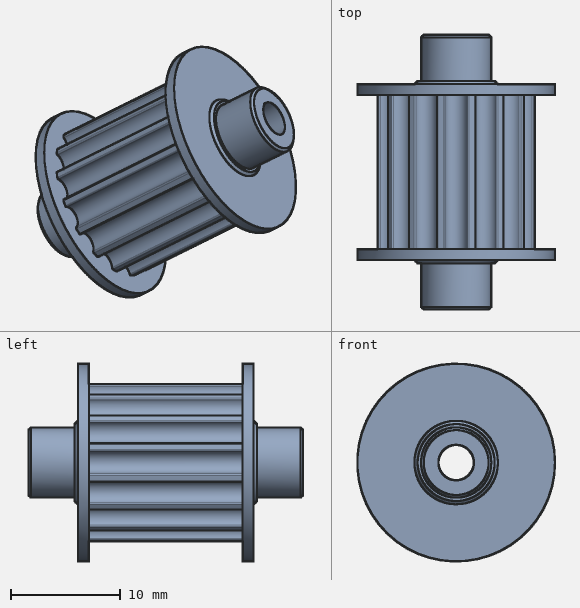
import cadquery as cq
import math


total_length = 25.0
flange_thickness = 1.0
toothed_length = 14.0
collar_height = 0.3

flange_diameter = 18.0
shaft_diameter = 6.4
collar_base_diameter = 7.6
collar_top_diameter = 7.0
bore_diameter = 3.2
shaft_chamfer = 0.25

tooth_count = 16
tip_radius = 7.25
groove_radius = 1.02
groove_center_radius = 7.15
tooth_edge_radius = 0.13

tooth_pitch = 2 * math.pi / tooth_count
flange_inner_face = toothed_length / 2
flange_outer_face = flange_inner_face + flange_thickness
collar_face = flange_outer_face + collar_height
shaft_end = total_length / 2

round_center_radius = tip_radius - tooth_edge_radius
center_distance = groove_radius + tooth_edge_radius
half_groove = math.acos(
    (round_center_radius**2 + groove_center_radius**2 - center_distance**2)
    / (2 * round_center_radius * groove_center_radius)
)


def polar(radius, angle):
    """Point in the barrel cross-section, angle in radians."""
    return radius * math.cos(angle), radius * math.sin(angle)


def toward(start, end, distance):
    """Point at the given distance from start in the direction of end."""
    length = math.dist(start, end)
    return tuple(s + (e - s) * distance / length for s, e in zip(start, end))


def tooth_edge(groove_angle, side):
    """Groove, middle and tip points of the rounded tooth edge on one side (-1 or +1) of a groove."""
    edge_angle = groove_angle + side * half_groove
    round_center = polar(round_center_radius, edge_angle)
    groove_center = polar(groove_center_radius, groove_angle)
    tip_point = polar(tip_radius, edge_angle)
    groove_point = toward(groove_center, round_center, groove_radius)
    chord_middle = tuple((t + g) / 2 for t, g in zip(tip_point, groove_point))
    round_middle = toward(round_center, chord_middle, tooth_edge_radius)
    return groove_point, round_middle, tip_point


def make_barrel():
    """Toothed barrel with circular grooves and rounded tooth edges."""
    section = cq.Workplane("XZ", origin=(0, flange_inner_face, 0))
    outline = section.moveTo(*polar(tip_radius, -half_groove))
    for index in range(tooth_count):
        groove_angle = index * tooth_pitch
        groove_start, start_middle, _ = tooth_edge(groove_angle, -1)
        groove_end, end_middle, tip_start = tooth_edge(groove_angle, 1)
        groove_bottom = polar(groove_center_radius - groove_radius, groove_angle)
        tip_middle = polar(tip_radius, groove_angle + tooth_pitch / 2)
        tip_end = polar(tip_radius, groove_angle + tooth_pitch - half_groove)
        outline = outline.threePointArc(start_middle, groove_start)
        outline = outline.threePointArc(groove_bottom, groove_end)
        outline = outline.threePointArc(end_middle, tip_start)
        outline = outline.threePointArc(tip_middle, tip_end)
    return outline.close().extrude(toothed_length)


def make_end():
    """Flange, tapered collar and chamfered shaft on the +Y end."""
    half_profile = [
        (0, flange_inner_face),
        (flange_diameter / 2, flange_inner_face),
        (flange_diameter / 2, flange_outer_face),
        (collar_base_diameter / 2, flange_outer_face),
        (collar_top_diameter / 2, collar_face),
        (shaft_diameter / 2, collar_face),
        (shaft_diameter / 2, shaft_end - shaft_chamfer),
        (shaft_diameter / 2 - shaft_chamfer, shaft_end),
        (0, shaft_end),
    ]
    return cq.Workplane("XY").polyline(half_profile).close().revolve(360, (0, 0, 0), (0, 1, 0))


def make_bore():
    """Through bore along the whole axis."""
    return cq.Workplane("XZ").circle(bore_diameter / 2).extrude(shaft_end, both=True)


end = make_end()
result = make_barrel().union(end).union(end.mirror("XZ")).cut(make_bore())